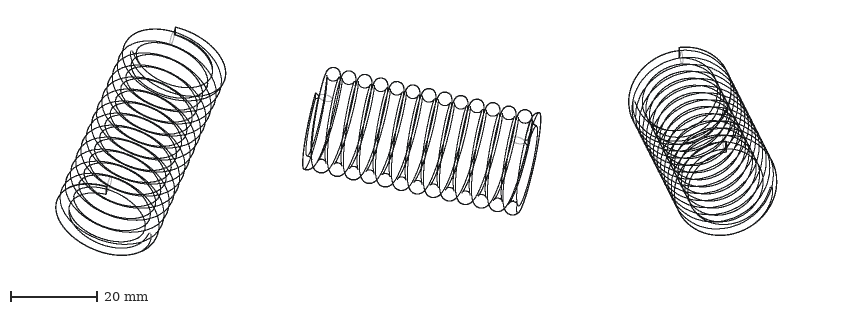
import cadquery as cq

free_length = 50.8
outer_diameter = 24.65
wire_diameter = 3.2
active_turns = 12
active_length = 45.9
end_pitch = 3.25

coil_radius = (outer_diameter - wire_diameter) / 2
active_pitch = active_length / active_turns
cutter_size = 2 * outer_diameter


def coil(pitch, turns, start):
    """Round wire coiled upward along Z, beginning on the +X side at height start."""
    helix = cq.Wire.makeHelix(pitch, pitch * turns, coil_radius, lefthand=True)
    wire_section = cq.Workplane("XZ").center(coil_radius, 0).circle(wire_diameter / 2)
    return wire_section.sweep(cq.Workplane(helix), isFrenet=True).translate((0, 0, start))


def grind_ends(spring):
    """Cut both ends flat at the free length."""
    envelope = cq.Workplane("XY").box(cutter_size, cutter_size, free_length)
    return spring.intersect(envelope)


active_coil = coil(active_pitch, active_turns, -active_length / 2)
lower_turn = coil(end_pitch, 1, -active_length / 2 - end_pitch)
upper_turn = coil(end_pitch, 1, active_length / 2)

spring = active_coil.union(grind_ends(lower_turn)).union(grind_ends(upper_turn))

spring = spring.rotate((0, 0, 0), (1, 0, 0), 90)
result = spring.rotate((0, 0, 0), (0, 1, 0), -90)